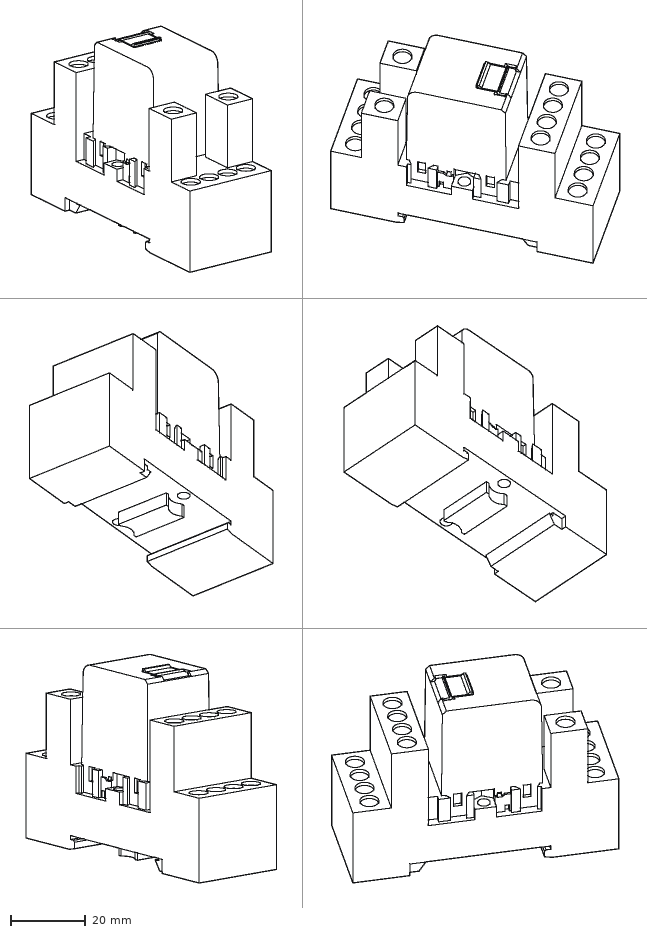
import cadquery as cq

LENGTH = 73.4
WIDTH = 27.0
HEIGHT = 52.0
HALF_LENGTH = LENGTH / 2
HALF_WIDTH = WIDTH / 2

DECK_Z = 23.4
UNDERSIDE_Z = 3.9
TOWER_TOP_Z = 41.5
LEFT_TOWER_X = (-26.05, -15.85)
RIGHT_TOWER_X = (17.9, 28.1)
RIGHT_TOWER_INNER_Y = 5.15

LEFT_FOOT_X = -21.0
RIGHT_FOOT_X = 17.9
NOTCH_Z = 2.8
LEFT_HOOK_SHANK_X = -17.6
LEFT_HOOK_TIP_X = -16.2
LEFT_HOOK_BOTTOM_X = -18.1
LEFT_HOOK_INSET = 1.5
RIGHT_HOOK_TIP_X = 16.15
RIGHT_HOOK_TIP_Z = 0.5
RIGHT_HOOK_BOTTOM_X = 18.35
RIGHT_HOOK_CHAMFER = 0.45

TERMINAL_RADIUS = 2.6
TERMINAL_DEPTH = 1.0
TERMINAL_PITCH = 6.1
TERMINAL_ROWS_Y = [(i - 1.5) * TERMINAL_PITCH for i in range(4)]
LEFT_LOW_X = -31.2
LEFT_HIGH_X = -20.85
RIGHT_HIGH_X = 22.9
RIGHT_LOW_X = 31.05

RELAY_TOP_Z = 51.3
RELAY_BASE_X = (-11.7, 16.2)
RELAY_BASE_HALF_Y = 10.9
RELAY_DRAFT = 0.3
RELAY_CHAMFER = 1.1
RELAY_ROUND = 2.9

POCKET_FLOOR_Z = 15.9
POCKET_WALL_Y = RELAY_BASE_HALF_Y
POST_FACE_Y = 12.4
LEFT_POCKET_X = (LEFT_TOWER_X[1], -3.0)
RIGHT_POCKET_X = (2.9, 15.5)
LEFT_POST_X = -12.8
RIGHT_POST_X = 7.35
DOVETAILS_X = [
    (-9.5, -5.1, -10.6, -4.1),
    (9.75, 14.45, 8.6, 15.35),
]
WINDOWS_X = [(-8.4, -6.1), (10.85, 13.1)]
WINDOW_Z = 19.4
WINDOW_DEPTH = 1.0

STEP_FACE_Y = 11.5
STEP_PROFILE = [(RIGHT_POCKET_X[0], 21.35), (3.7, 20.9), (4.9, 20.9), (5.7, 21.6), (RIGHT_POST_X, 21.6)]
PEEPHOLE_X = (3.75, 4.9)
PEEPHOLE_Z = (20.9, 22.0)
FOOT_NOTCH_X = (5.7, 6.9)
FOOT_NOTCH_TOP_Z = 17.9
SMALL_HOLE_DEPTH = 1.0

LEDGE_Z = WINDOW_Z
VEE_MOUTH_Y = 9.5
VEE_APEX_Y = 7.8
SCREW_Y = 10.9
SCREW_RADIUS = 1.7
BOSS_X = (-4.0, 3.9)
BOSS_HALF_Y = 8.1
BOSS_SCALLOP_RADIUS = 4.1

LATCH_HALF_Y = 4.7
LATCH_END_X = -1.3
LATCH_CORNER = 0.65
LATCH_FLOOR_Z = 51.1
LIP_Z = RELAY_TOP_Z - RELAY_CHAMFER
LIP_X = -10.2
LIP_ROUND = LATCH_FLOOR_Z - LIP_Z
FLAP_X = (-7.4, -3.1)
RIDGE_PROFILE = [
    (-8.15, LATCH_FLOOR_Z),
    (-7.9, 51.7),
    (-7.7, 51.7),
    (FLAP_X[0], RELAY_TOP_Z),
    (FLAP_X[0], LATCH_FLOOR_Z),
]
FLAP_HALF_Y = 4.5
HOOK_HALF_Y = 4.4
HOOK_PROFILE = [
    (FLAP_X[1], LATCH_FLOOR_Z),
    (FLAP_X[1], RELAY_TOP_Z),
    (-2.35, HEIGHT),
    (-1.7, HEIGHT),
    (-1.7, 51.75),
    (-2.05, LATCH_FLOOR_Z),
]
EAR_X = (-9.9, -6.8)
EAR_HALF_Y = 5.7
EAR_DEPTH = 0.95


def block(x_range, y_range, z_range):
    """Axis-aligned box given by its limits."""
    (x0, x1), (y0, y1), (z0, z1) = x_range, y_range, z_range
    return cq.Workplane("XY").box(x1 - x0, y1 - y0, z1 - z0, centered=False).translate((x0, y0, z0))


def across(points, y_range):
    """X-Z outline extruded between two Y positions."""
    y0, y1 = y_range
    return cq.Workplane("XZ", origin=(0, y1, 0)).polyline(points).close().extrude(y1 - y0)


def upright(points, z_range):
    """X-Y outline extruded between two heights."""
    z0, z1 = z_range
    return cq.Workplane("XY", origin=(0, 0, z0)).polyline(points).close().extrude(z1 - z0)


def both_sides(shape):
    """The shape on the -Y side together with its mirror image on the +Y side."""
    return shape.union(shape.mirror("XZ"))


def make_body():
    full_width = (-HALF_WIDTH, HALF_WIDTH)
    profile = [
        (-HALF_LENGTH, 0),
        (LEFT_FOOT_X, 0),
        (LEFT_FOOT_X, UNDERSIDE_Z),
        (RIGHT_FOOT_X, UNDERSIDE_Z),
        (RIGHT_FOOT_X, NOTCH_Z),
        (RIGHT_HOOK_TIP_X + RIGHT_HOOK_CHAMFER, NOTCH_Z),
        (RIGHT_HOOK_TIP_X, NOTCH_Z - RIGHT_HOOK_CHAMFER),
        (RIGHT_HOOK_TIP_X, RIGHT_HOOK_TIP_Z),
        (RIGHT_HOOK_BOTTOM_X, 0),
        (HALF_LENGTH, 0),
        (HALF_LENGTH, DECK_Z),
        (-HALF_LENGTH, DECK_Z),
    ]
    body = across(profile, full_width)
    tower_z = (DECK_Z, TOWER_TOP_Z)
    body = body.union(block(LEFT_TOWER_X, full_width, tower_z))
    right_tower = block(RIGHT_TOWER_X, (-HALF_WIDTH, -RIGHT_TOWER_INNER_Y), tower_z)
    return body.union(both_sides(right_tower))


def make_left_hook():
    profile = [
        (LEFT_FOOT_X, 0),
        (LEFT_HOOK_BOTTOM_X, 0),
        (LEFT_HOOK_TIP_X, NOTCH_Z),
        (LEFT_HOOK_SHANK_X, NOTCH_Z),
        (LEFT_HOOK_SHANK_X, UNDERSIDE_Z),
        (LEFT_FOOT_X, UNDERSIDE_Z),
    ]
    half_y = HALF_WIDTH - LEFT_HOOK_INSET
    return across(profile, (-half_y, half_y))


def make_boss():
    """Centre boss under the body, scalloped around each screw passage."""
    boss = block(BOSS_X, (-BOSS_HALF_Y, BOSS_HALF_Y), (0, UNDERSIDE_Z))
    scallops = (
        cq.Workplane("XY")
        .pushPoints([(0, -SCREW_Y), (0, SCREW_Y)])
        .circle(BOSS_SCALLOP_RADIUS)
        .extrude(UNDERSIDE_Z)
    )
    return boss.cut(scallops)


def terminal_holes(x, rows_y, top_z):
    return (
        cq.Workplane("XY", origin=(0, 0, top_z - TERMINAL_DEPTH))
        .pushPoints([(x, y) for y in rows_y])
        .circle(TERMINAL_RADIUS)
        .extrude(TERMINAL_DEPTH)
    )


def make_side_pockets():
    """Material removed from the -Y side below the relay."""
    pocket_z = (POCKET_FLOOR_Z, DECK_Z)
    window_z = (WINDOW_Z, DECK_Z)
    outside_to_wall = (-HALF_WIDTH, -POCKET_WALL_Y)
    outside_to_posts = (-HALF_WIDTH, -POST_FACE_Y)

    cutter = block(LEFT_POCKET_X, outside_to_posts, pocket_z)
    cutter = cutter.union(block(RIGHT_POCKET_X, outside_to_posts, pocket_z))
    cutter = cutter.union(block((LEFT_POCKET_X[0], LEFT_POST_X), outside_to_wall, pocket_z))

    for outer_left, outer_right, inner_left, inner_right in DOVETAILS_X:
        outline = [
            (outer_left, -POST_FACE_Y),
            (outer_right, -POST_FACE_Y),
            (inner_right, -POCKET_WALL_Y),
            (inner_left, -POCKET_WALL_Y),
        ]
        cutter = cutter.union(upright(outline, pocket_z))
    for window_x in WINDOWS_X:
        window_y = (-POCKET_WALL_Y, -POCKET_WALL_Y + WINDOW_DEPTH)
        cutter = cutter.union(block(window_x, window_y, window_z))

    step_bay_x = (RIGHT_POCKET_X[0], RIGHT_POST_X)
    cutter = cutter.union(block(step_bay_x, (-HALF_WIDTH, -STEP_FACE_Y), pocket_z))
    above_step = STEP_PROFILE + [(RIGHT_POST_X, DECK_Z), (RIGHT_POCKET_X[0], DECK_Z)]
    cutter = cutter.union(across(above_step, (-STEP_FACE_Y, -POCKET_WALL_Y)))
    peephole_y = (-POCKET_WALL_Y, -POCKET_WALL_Y + SMALL_HOLE_DEPTH)
    cutter = cutter.union(block(PEEPHOLE_X, peephole_y, PEEPHOLE_Z))
    notch_y = (-STEP_FACE_Y, -STEP_FACE_Y + SMALL_HOLE_DEPTH)
    cutter = cutter.union(block(FOOT_NOTCH_X, notch_y, (POCKET_FLOOR_Z, FOOT_NOTCH_TOP_Z)))

    ledge_left = LEFT_POCKET_X[1]
    ledge_right = RIGHT_POCKET_X[0]
    vee = [
        (ledge_left, -HALF_WIDTH),
        (ledge_right, -HALF_WIDTH),
        (ledge_right, -VEE_MOUTH_Y),
        (0, -VEE_APEX_Y),
        (ledge_left, -VEE_MOUTH_Y),
    ]
    cutter = cutter.union(upright(vee, (LEDGE_Z, DECK_Z)))

    screw = cq.Workplane("XY").center(0, -SCREW_Y).circle(SCREW_RADIUS).extrude(LEDGE_Z)
    return cutter.union(screw)


def make_relay():
    """Slightly tapered housing with a chamfered left and a rounded right top edge."""
    x0, x1 = RELAY_BASE_X
    length = x1 - x0
    width = 2 * RELAY_BASE_HALF_Y
    relay = (
        cq.Workplane("XY", origin=((x0 + x1) / 2, 0, DECK_Z))
        .rect(length, width)
        .workplane(offset=RELAY_TOP_Z - DECK_Z)
        .rect(length - 2 * RELAY_DRAFT, width - 2 * RELAY_DRAFT)
        .loft(ruled=True)
    )
    relay = relay.faces(">Z").edges("<X").chamfer(RELAY_CHAMFER)
    return relay.faces(">Z").edges(">X").fillet(RELAY_ROUND)


def make_latch_recess():
    latch_y = (-LATCH_HALF_Y, LATCH_HALF_Y)
    recess = block((LIP_X, LATCH_END_X), latch_y, (LATCH_FLOOR_Z, RELAY_TOP_Z))
    recess = recess.edges("|Z and >X").fillet(LATCH_CORNER)

    lip = (
        cq.Workplane("XZ", origin=(0, LATCH_HALF_Y, 0))
        .moveTo(RELAY_BASE_X[0], LIP_Z)
        .lineTo(LIP_X, LIP_Z)
        .radiusArc((LIP_X + LIP_ROUND, LATCH_FLOOR_Z), LIP_ROUND)
        .lineTo(LIP_X + LIP_ROUND, RELAY_TOP_Z)
        .lineTo(RELAY_BASE_X[0], RELAY_TOP_Z)
        .close()
        .extrude(2 * LATCH_HALF_Y)
    )

    ear_profile = [
        (EAR_X[0], RELAY_TOP_Z),
        (EAR_X[0], RELAY_TOP_Z - EAR_DEPTH),
        (EAR_X[1] - EAR_DEPTH, RELAY_TOP_Z - EAR_DEPTH),
        (EAR_X[1], RELAY_TOP_Z),
    ]
    ears = both_sides(across(ear_profile, (-EAR_HALF_Y, -LATCH_HALF_Y)))
    return recess.union(lip).union(ears)


def make_latch():
    """Ridge, flat flap and overhanging finger hook standing on the latch floor."""
    ridge = across(RIDGE_PROFILE, (-LATCH_HALF_Y, LATCH_HALF_Y))
    flap = block(FLAP_X, (-FLAP_HALF_Y, FLAP_HALF_Y), (LATCH_FLOOR_Z, RELAY_TOP_Z))
    hook = across(HOOK_PROFILE, (-HOOK_HALF_Y, HOOK_HALF_Y))
    return ridge.union(flap).union(hook)


socket = make_body().union(make_left_hook()).union(make_boss())
socket = socket.cut(both_sides(make_side_pockets()))
for hole_x, hole_rows, hole_top in [
    (LEFT_LOW_X, TERMINAL_ROWS_Y, DECK_Z),
    (LEFT_HIGH_X, TERMINAL_ROWS_Y, TOWER_TOP_Z),
    (RIGHT_HIGH_X, [TERMINAL_ROWS_Y[0], TERMINAL_ROWS_Y[-1]], TOWER_TOP_Z),
    (RIGHT_LOW_X, TERMINAL_ROWS_Y, DECK_Z),
]:
    socket = socket.cut(terminal_holes(hole_x, hole_rows, hole_top))

relay_with_latch = make_relay().cut(make_latch_recess()).union(make_latch())

result = socket.union(relay_with_latch)